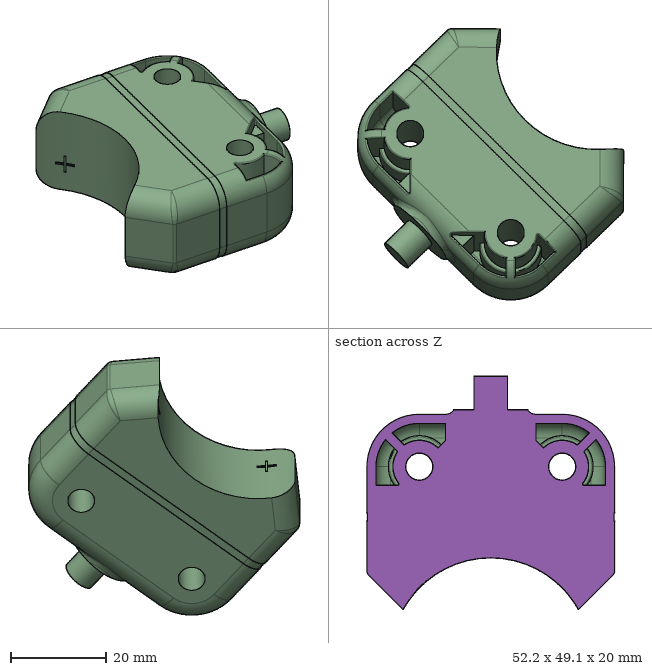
import cadquery as cq
import math

width = 52.15
height = 20.0
corner_radius = 11.05
edge_radius = 5.0
half_width = width / 2
half_height = height / 2
back_y = corner_radius
hole_x = half_width - corner_radius
hole_diameter = 5.65

saddle_radius = 21.0
saddle_crest_y = -19.2
leg_tip_x = 18.4
leg_corner_radius = 1.0
saddle_center_y = saddle_crest_y - saddle_radius
leg_tip_y = saddle_center_y + math.sqrt(saddle_radius**2 - leg_tip_x**2)
leg_corner_y = leg_tip_y + half_width - leg_tip_x

groove_front_y = -11.5
groove_back_y = -9.75
groove_depth = 0.1

cable_radius = 3.55
cable_end_y = 19.05
collar_radius = 7.5
collar_face_y = 12.0
collar_flare = 2.0

wall = 2.0
rib_width = 2.0
upper_boss_radius = 5.6
lower_boss_radius = 6.5
shelf_depth = 2.8
shelf_x = 9.55
side_pocket_end_y = -3.85
pocket_lip = 0.25
pocket_tip_radius = 0.2
rib_angle = 135

cross_x = 14.7
cross_z = 3.35
cross_length = 4.05
cross_stroke = 0.4
cross_depth = 0.15

margin = 0.05


def rounded_body(inset=0.0):
    """Body without the saddle, or the same shape moved inward by inset."""
    side_x = half_width - inset
    end_y = leg_tip_y - edge_radius
    leg_end_x = side_x - (leg_corner_y - end_y)
    outline = (
        cq.Workplane("XY")
        .workplane(offset=inset - half_height)
        .moveTo(-hole_x, back_y - inset)
        .lineTo(hole_x, back_y - inset)
        .radiusArc((side_x, 0), corner_radius - inset)
        .lineTo(side_x, leg_corner_y)
        .lineTo(leg_end_x, end_y)
        .lineTo(-leg_end_x, end_y)
        .lineTo(-side_x, leg_corner_y)
        .lineTo(-side_x, 0)
        .radiusArc((-hole_x, back_y - inset), corner_radius - inset)
        .close()
    )
    solid = outline.extrude(height - 2 * inset)
    leg_corners = cq.selectors.BoxSelector(
        (-width, leg_corner_y - margin, -height),
        (width, leg_corner_y + margin, height),
        boundingbox=True,
    )
    solid = solid.edges(leg_corners).fillet(leg_corner_radius)
    return solid.faces("<Z or >Z").edges("not(<Y)").fillet(edge_radius - inset)


def cylinder_along_y(radius, start_y, end_y):
    return cq.Workplane("XZ", origin=(0, start_y, 0)).circle(radius).extrude(start_y - end_y)


def cylinder_along_z(radius, x, y, bottom, top):
    return cq.Workplane("XY", origin=(x, y, bottom)).circle(radius).extrude(top - bottom)


def add_collar_and_cable(body):
    """Fillet a tall collar into the body, then trim it flat so its flare is cut short."""
    tall_y = collar_face_y + 2 * collar_flare
    body = body.union(cylinder_along_y(collar_radius, 0, tall_y))
    seam = cq.selectors.BoxSelector(
        (-collar_radius - margin, back_y - edge_radius, -collar_radius - margin),
        (collar_radius + margin, back_y + margin, collar_radius + margin),
        boundingbox=True,
    )
    body = body.edges(seam).fillet(collar_flare)
    trim = cylinder_along_y(width, collar_face_y, tall_y + margin)
    return body.cut(trim).union(cylinder_along_y(cable_radius, 0, cable_end_y))


def groove_ring():
    """Band whose inside follows the body section at the groove depth."""
    length = groove_back_y - groove_front_y
    mid_y = (groove_back_y + groove_front_y) / 2
    core = (
        cq.Workplane("XY")
        .box(width - 2 * groove_depth, 2 * length, height - 2 * groove_depth)
        .edges("|Y")
        .fillet(edge_radius - groove_depth)
    )
    ring = cq.Workplane("XY").box(width + margin, length, height + margin).cut(core)
    return ring.translate((0, mid_y, 0))


def pocket_sector(points):
    """Full-height prism around the left boss, with points measured from its screw hole."""
    return (
        cq.Workplane("XY", origin=(-hole_x, 0, -half_height))
        .polyline(points)
        .close()
        .extrude(height)
    )


def left_pockets():
    """The back and side pockets of the left boss, parted by a rib toward the rounded corner."""
    reach = 2 * corner_radius
    back = pocket_sector([(0, 0), (reach, reach), (-reach, reach)])
    side = pocket_sector([(0, 0), (-reach, reach), (-reach, side_pocket_end_y), (0, side_pocket_end_y)])
    rib = (
        cq.Workplane("XY")
        .box(2 * reach, rib_width, height)
        .rotate((0, 0, 0), (0, 0, 1), rib_angle)
        .translate((-hole_x, 0, 0))
    )
    shelf = cq.Workplane("XY").box(reach, reach, height, centered=False)
    shelf = shelf.translate((-shelf_x, 0, -half_height - shelf_depth))
    upper_boss = cylinder_along_z(upper_boss_radius, -hole_x, 0, 0, half_height)
    lower_boss = cylinder_along_z(lower_boss_radius, -hole_x, 0, -half_height, 0)
    lower_boss = lower_boss.faces(">Z").edges().fillet(pocket_lip)

    lower_half = cq.Workplane("XY").box(2 * width, 2 * width, height).translate((0, 0, -half_height))
    hollow = rounded_body(wall).intersect(lower_half)
    hollow = hollow.union(hollow.faces(">Z").wires().toPending().extrude(half_height))
    pockets = back.union(side).intersect(hollow)
    pockets = pockets.cut(rib).cut(shelf).cut(upper_boss).cut(lower_boss)

    shelf_tip_x = back_y - wall - hole_x
    boss_tip_x = -hole_x - math.sqrt(upper_boss_radius**2 - side_pocket_end_y**2)
    for x, y in ((shelf_tip_x, back_y - wall), (boss_tip_x, side_pocket_end_y)):
        tip = cq.selectors.BoxSelector((x - margin, y - margin, 0), (x + margin, y + margin, height))
        pockets = pockets.edges(tip).edges("|Z").fillet(pocket_tip_radius)
    return pockets


def soften_pocket_rims(body):
    """Round the rims where the pockets break through the top and its rounded edge."""
    rim_drop = edge_radius - math.sqrt(edge_radius**2 - (edge_radius - wall) ** 2)
    rims = cq.selectors.BoxSelector(
        (-half_width + wall - margin, side_pocket_end_y - margin, half_height - rim_drop - margin),
        (half_width - wall + margin, back_y - wall + margin, half_height + margin),
        boundingbox=True,
    )
    return body.edges(rims).fillet(pocket_lip)


def cross_marks():
    """Two crosses cut to a shallow depth into the saddle, at diagonally opposite places."""
    bars = cq.Workplane("XY")
    angle = math.degrees(math.asin(cross_x / saddle_radius))
    for side in (-1, 1):
        for across, up in ((cross_length, cross_stroke), (cross_stroke, cross_length)):
            bar = (
                cq.Workplane("XY")
                .box(across, cross_length, up)
                .translate((0, saddle_radius, side * cross_z))
                .rotate((0, 0, 0), (0, 0, 1), -side * angle)
                .translate((0, saddle_center_y, 0))
            )
            bars = bars.union(bar)
    reach = cylinder_along_z(saddle_radius + cross_depth, 0, saddle_center_y, -half_height, half_height)
    return bars.intersect(reach)


body = add_collar_and_cable(rounded_body())
pockets = left_pockets()
body = body.cut(pockets).cut(pockets.mirror("YZ"))
body = soften_pocket_rims(body)
for x in (-hole_x, hole_x):
    body = body.cut(cylinder_along_z(hole_diameter / 2, x, 0, -half_height, half_height))
body = body.cut(groove_ring())
body = body.cut(cylinder_along_z(saddle_radius, 0, saddle_center_y, -half_height, half_height))
result = body.cut(cross_marks())